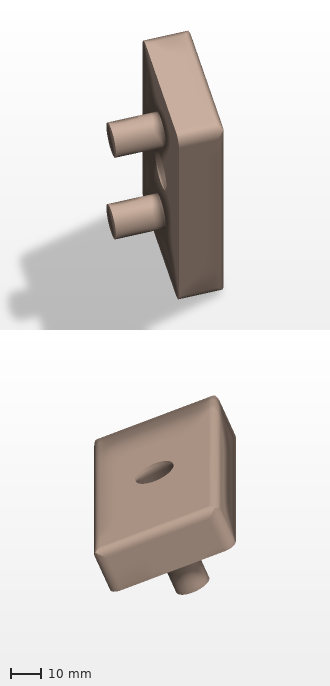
import cadquery as cq

height = 90.0
width = height / 2
plate_thickness = 16.0
corner_radius = 4.0
back_edge_radius = 3.0

pin_diameter = 12.0
pin_length = 17.0
pin_spacing = height / 2
hole_diameter = 13.8


def make_plate():
    """Plate with rounded corners; the rounded back edges run straight and meet in mitres."""
    outline = cq.Workplane("XZ").rect(width, height).extrude(-plate_thickness)
    side_rounding = outline.edges(">Y and |Z").fillet(back_edge_radius)
    end_rounding = outline.edges(">Y and |X").fillet(back_edge_radius)
    rounded_corners = outline.edges("|Y").fillet(corner_radius)
    return rounded_corners.intersect(side_rounding).intersect(end_rounding)


def make_pins():
    """Two pins standing out of the front face toward -Y."""
    centres = [(0, -pin_spacing / 2), (0, pin_spacing / 2)]
    return cq.Workplane("XZ").pushPoints(centres).circle(pin_diameter / 2).extrude(pin_length)


def make_hole():
    """Cutter for the hole through the middle of the plate."""
    return cq.Workplane("XZ").circle(hole_diameter / 2).extrude(-plate_thickness)


result = make_plate().union(make_pins()).cut(make_hole())